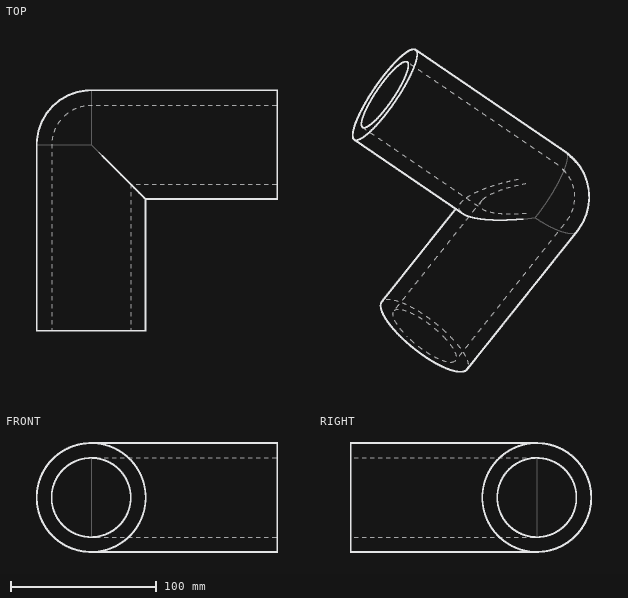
import cadquery as cq

overall_length = 165.5
outer_diameter = 75.0
bore_diameter = 54.5

outer_radius = outer_diameter / 2
bore_radius = bore_diameter / 2
leg_length = overall_length - outer_radius


def elbow(radius):
    """Solid elbow: a ball at the origin with legs along +X and -Y."""
    ball = cq.Workplane("XY").sphere(radius)
    x_leg = cq.Workplane("YZ").circle(radius).extrude(leg_length)
    y_leg = cq.Workplane("XZ").circle(radius).extrude(leg_length)
    return x_leg.union(y_leg).union(ball)


result = elbow(outer_radius).cut(elbow(bore_radius))